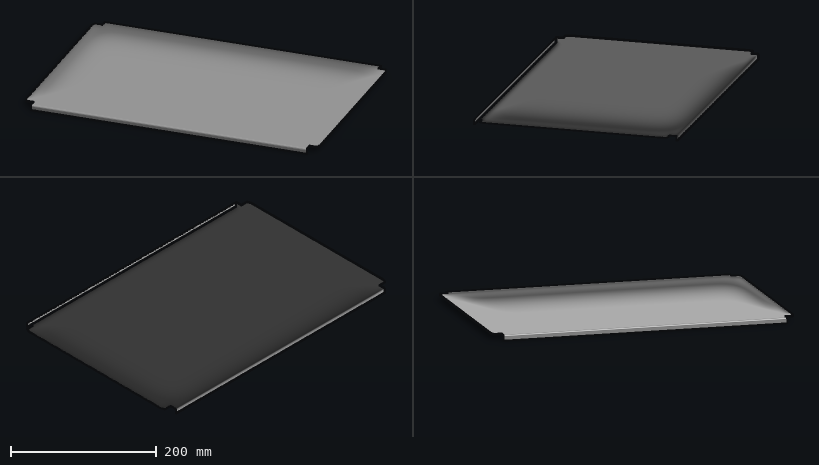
import cadquery as cq

LENGTH = 430.5
WIDTH = 290.3
HEIGHT = 8.0

THICKNESS = 1.5
BEND_RADIUS = 2.5

FLANGE_LENGTH = 404.5
NOTCH_DEPTH = 11.0

CORNER_CUT_X = 2.0
CORNER_CUT_Y = 6.5


def folded_channel():
    """Flat panel with both long edges folded down, extruded along X."""
    outer = (
        cq.Workplane("XY")
        .box(FLANGE_LENGTH, WIDTH, HEIGHT, centered=(True, True, False))
        .edges("|X and >Z")
        .fillet(BEND_RADIUS)
    )
    inner = (
        cq.Workplane("XY")
        .box(FLANGE_LENGTH, WIDTH - 2 * THICKNESS, HEIGHT - THICKNESS, centered=(True, True, False))
        .edges("|X and >Z")
        .fillet(BEND_RADIUS - THICKNESS)
    )
    return outer.cut(inner)


def end_panel():
    """Flat plate with slanted corners that reaches past the flange ends."""
    half_x = LENGTH / 2
    half_y = WIDTH / 2 - NOTCH_DEPTH
    cut_x = half_x - CORNER_CUT_X
    cut_y = half_y - CORNER_CUT_Y
    outline = [
        (half_x, -cut_y),
        (half_x, cut_y),
        (cut_x, half_y),
        (-cut_x, half_y),
        (-half_x, cut_y),
        (-half_x, -cut_y),
        (-cut_x, -half_y),
        (cut_x, -half_y),
    ]
    return (
        cq.Workplane("XY")
        .workplane(offset=HEIGHT - THICKNESS)
        .polyline(outline)
        .close()
        .extrude(THICKNESS)
    )


result = folded_channel().union(end_panel())